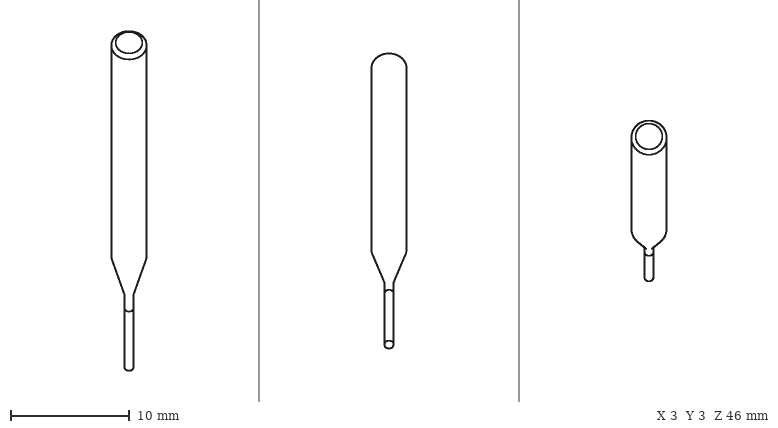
import cadquery as cq
import math

total_length = 46.0
shank_diameter = 3.0
drill_diameter = 0.8

joint_height = 8.55
neck_top = 10.5
taper_top = 15.85

top_chamfer = 0.35
point_angle = 130.0

shank_radius = shank_diameter / 2
drill_radius = drill_diameter / 2
point_height = drill_radius / math.tan(math.radians(point_angle / 2))


def revolve_about_z(plane, outline):
    """Turn a (radius, height) outline, drawn on a vertical plane, about Z."""
    return cq.Workplane(plane).polyline(outline).close().revolve(360, (0, 0), (0, 1))


def make_shank():
    """Chamfered round shank that tapers to a neck as wide as the drill."""
    return revolve_about_z("YZ", [
        (0, joint_height),
        (-drill_radius, joint_height),
        (-drill_radius, neck_top),
        (-shank_radius, taper_top),
        (-shank_radius, total_length - top_chamfer),
        (-shank_radius + top_chamfer, total_length),
        (0, total_length),
    ])


def make_drill():
    """Plain round drill with a conical point, butted against the neck."""
    return revolve_about_z("XZ", [
        (0, 0),
        (-drill_radius, point_height),
        (-drill_radius, joint_height),
        (0, joint_height),
    ])


shank = make_shank()
drill = make_drill()

result = cq.Compound.makeCompound([shank.val(), drill.val()])